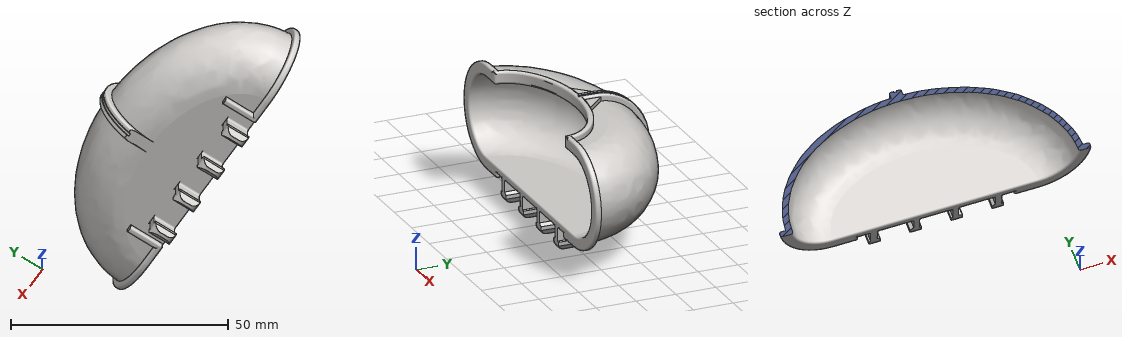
import cadquery as cq
import math

half_straight = 25.0
bowl_depth = 16.5
inner_radius = 10.0
wall = 1.5
outer_radius = inner_radius + wall
core_overlap = 3.0

trim = 1.5
trim_radius = outer_radius + trim
edge_round = 0.5

opening_half_width = 20.0
opening_depth = 11.5

rib_width = 3.0
groove_width = 0.7
groove_depth = 0.25

gusset_height = trim - edge_round
gusset_reach = 18.8

recess_half_width = 19.0
rail_length = 9.0

clip_inner_x = 5.0
clip_outer_x = 15.0
clip_length = 5.75
clip_bottom = -17.5
inner_stem_width = 1.4
outer_stem_width = 1.6
head_width = 2.8
head_step = 0.45
shoulder_top = -15.0
head_top = -15.15
ramp_rise = 0.6
head_side_bottom = -16.1
tip_width = 0.85
tip_offset = 0.15
tip_round = 2.0
stem_root_round = 0.5


def half_ellipse(half_width, depth, bottom, top):
    """Upright half-elliptical block with its flat side on the Y = 0 plane."""
    return (
        cq.Workplane("XY", origin=(0, 0, bottom))
        .ellipseArc(half_width, depth, 0, 180, startAtCurrent=False)
        .close()
        .extrude(top - bottom)
    )


def bowl(radius):
    """Solid bowl: elliptical plate plus a half-round rim swept along the ellipse."""
    plate = half_ellipse(half_straight, bowl_depth, -radius, radius)
    path = cq.Workplane("XY").ellipseArc(half_straight, bowl_depth, 0, 180, startAtCurrent=False)
    rim = (
        cq.Workplane("XZ")
        .moveTo(half_straight - core_overlap, -radius)
        .lineTo(half_straight, -radius)
        .threePointArc((half_straight + radius, 0), (half_straight, radius))
        .lineTo(half_straight - core_overlap, radius)
        .close()
        .sweep(path)
    )
    return plate.union(rim)


def flange():
    """Slot-shaped front plate with all its outer edges rounded."""
    length = 2 * (half_straight + trim_radius)
    return (
        cq.Workplane("XZ")
        .slot2D(length, 2 * trim_radius)
        .extrude(-trim)
        .edges()
        .fillet(edge_round)
    )


def opening_rim():
    """Block around the roof opening; its middle is removed with the opening."""
    block = half_ellipse(opening_half_width + trim, opening_depth + trim, inner_radius, trim_radius)
    return block.faces(">Z").edges("not <Y").fillet(edge_round)


def rib_block(width, radius, front):
    """Block with a round back that follows the middle section of the shell."""
    return (
        cq.Workplane("YZ", origin=(-width / 2, 0, 0))
        .moveTo(front, radius)
        .lineTo(bowl_depth, radius)
        .threePointArc((bowl_depth + radius, 0), (bowl_depth, -radius))
        .lineTo(front, -radius)
        .close()
        .extrude(width)
    )


def rib():
    """Rib with rounded edges, trimmed flush with the floor, and the cutter for its groove."""
    front = opening_depth + edge_round
    block = rib_block(rib_width, trim_radius, front)
    block = block.faces("<X or >X").edges("not <Y").fillet(edge_round)
    groove = rib_block(groove_width, trim_radius, front + edge_round / 2)
    groove = groove.cut(rib_block(groove_width, trim_radius - groove_depth, front))
    back = bowl_depth + trim_radius
    below_floor = cq.Workplane("XY").box(rib_width, back, trim, centered=(True, False, False))
    below_floor = below_floor.translate((0, 0, -trim_radius))
    return block.cut(below_floor), groove


def gussets():
    """Triangular plate whose two halves brace the rib against the opening rim."""
    front = opening_depth + trim / 2
    half_base = gusset_reach - front
    return (
        cq.Workplane("XY", origin=(0, 0, inner_radius + wall / 2))
        .polyline([(-half_base, front), (half_base, front), (0, gusset_reach)])
        .close()
        .extrude(wall / 2 + gusset_height)
    )


def recess():
    """Cutter that removes the flange below the floor between the rails."""
    block = cq.Workplane("XY").box(2 * recess_half_width, trim, trim, centered=(True, False, False))
    return block.translate((0, 0, -trim_radius))


def rail(side):
    """Rail running back from one end of the recess; side is -1 or +1."""
    front = trim / 2
    length = rail_length - front
    height = trim + wall / 2
    center = (side * (recess_half_width + trim / 2), front + length / 2, height / 2 - trim_radius)
    block = cq.Workplane("XY").box(trim, length, height).translate(center)
    outer_face = ">X" if side > 0 else "<X"
    return block.faces(outer_face).edges("<Z").fillet(edge_round)


def clip(center_x, barb, stem_width):
    """Snap clip; barb is the X direction (-1 or +1) of the ramped shoulder."""
    plain_x = -head_width / 2
    barb_x = head_width / 2
    stem_plain = plain_x + head_step
    stem_barb = stem_plain + stem_width
    root = -outer_radius
    embed = root + wall / 2
    outline = [
        (stem_plain, embed),
        (stem_plain, shoulder_top),
        (plain_x, head_top),
        (plain_x, head_side_bottom),
        (tip_offset - tip_width / 2, clip_bottom),
        (tip_offset + tip_width / 2, clip_bottom),
        (barb_x, head_side_bottom),
        (barb_x, head_top),
        (stem_barb, head_top + ramp_rise),
        (stem_barb, embed),
    ]
    profile = cq.Workplane("XZ").polyline([(center_x + barb * x, z) for x, z in outline]).close()
    side_shape = (
        cq.Workplane("YZ", origin=(center_x - head_width, 0, 0))
        .moveTo(clip_length / 2, (embed + clip_bottom) / 2)
        .rect(clip_length, embed - clip_bottom)
        .extrude(2 * head_width)
        .faces("<Z")
        .edges("<Y or >Y")
        .fillet(tip_round)
    )
    body = profile.extrude(-clip_length).intersect(side_shape)
    body = body.union(root_round(center_x + barb * stem_plain, -barb))
    return body.union(root_round(center_x + barb * stem_barb, barb))


def root_round(stem_x, direction):
    """Concave round between a stem side and the floor; direction points away from the stem."""
    root = -outer_radius
    far_x = stem_x + direction * stem_root_round
    low = root - stem_root_round
    inset = stem_root_round * (1 - math.sqrt(0.5))
    return (
        cq.Workplane("XZ")
        .moveTo(stem_x, root)
        .lineTo(far_x, root)
        .threePointArc((stem_x + direction * inset, root - inset), (stem_x, low))
        .close()
        .extrude(-clip_length)
    )


def round_recess_ends(body):
    """Round the upright front edge at each end of the recess."""
    middle_z = -outer_radius - trim / 2
    for side in (-1, 1):
        corner = (side * recess_half_width, 0, middle_z)
        body = body.edges(cq.selectors.NearestToPointSelector(corner)).fillet(edge_round)
    return body


def round_mouth(body):
    """Round the front edge where the cavity meets the flange face."""
    reach = half_straight + inner_radius + edge_round / 2
    height = inner_radius + edge_round / 2
    low_corner = (-reach, -edge_round, -height)
    high_corner = (reach, edge_round, height)
    return body.edges(cq.selectors.BoxSelector(low_corner, high_corner)).fillet(edge_round)


def cut_opening(body):
    """Cut the roof opening and round its edges."""
    roof_bottom = inner_radius - edge_round
    block = half_ellipse(opening_half_width, opening_depth, roof_bottom, trim_radius)
    body = body.cut(block)
    reach = opening_half_width + edge_round / 2
    back = opening_depth + edge_round / 2
    low_corner = (-reach, -edge_round, roof_bottom)
    high_corner = (reach, back, trim_radius + edge_round)
    selector = cq.selectors.BoxSelector(low_corner, high_corner, boundingbox=True)
    return body.edges(selector).fillet(edge_round)


def build():
    """Assemble the outside, hollow it, then cut and round the roof opening."""
    rib_body, groove = rib()
    body = bowl(outer_radius).union(flange()).union(opening_rim()).union(gussets()).union(rib_body)
    body = body.cut(groove).cut(recess())
    for side in (-1, 1):
        body = body.union(rail(side))
        body = body.union(clip(side * clip_inner_x, side, inner_stem_width))
        body = body.union(clip(side * clip_outer_x, -side, outer_stem_width))
    body = round_recess_ends(body)
    body = round_mouth(body.cut(bowl(inner_radius)))
    return cut_opening(body)


result = build()